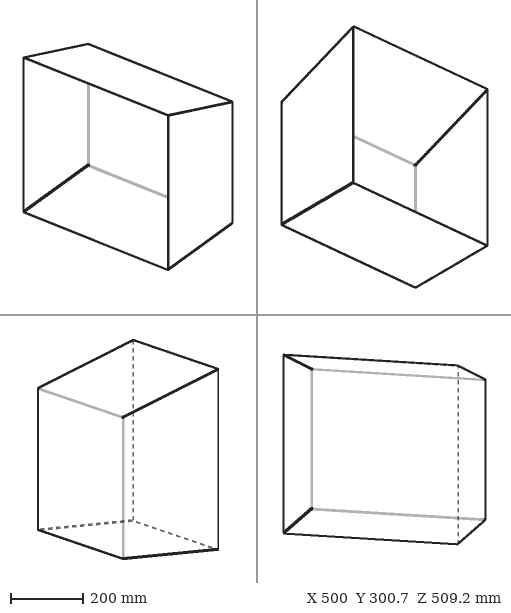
import cadquery as cq
import math

width = 500.0
depth = 300.0
back_height = 400.0
roof_angle = 20.0
sheet = 2.0
bend_inner_radius = 2.0
roof_joint_gap = 0.2

bend_outer_radius = bend_inner_radius + sheet
square_bend_angle = 90.0
roof_bend_angle = square_bend_angle - roof_angle
roof_bend_setback = bend_outer_radius * math.tan(math.radians(roof_bend_angle / 2))

panel_half_width = width / 2 - bend_outer_radius
panel_bottom = bend_outer_radius
panel_top = back_height - roof_bend_setback
panel_height = panel_top - panel_bottom
bend_axis_y = depth - bend_outer_radius

roof_joint_inset = sheet + roof_joint_gap
roof_half_width = width / 2 - roof_joint_inset
floor_half_width = width / 2 - sheet

roof_slope = math.tan(math.radians(roof_angle))
roof_cosine = math.cos(math.radians(roof_angle))
roof_length = depth / roof_cosine - roof_bend_setback
side_top_at_back = back_height - roof_joint_inset / roof_cosine
side_top_at_bend = side_top_at_back + bend_outer_radius * roof_slope
side_top_at_front = side_top_at_back + depth * roof_slope


def back_panel():
    panel = cq.Workplane("XY").box(
        2 * panel_half_width, sheet, panel_height, centered=(True, False, False)
    )
    return panel.translate((0, depth - sheet, panel_bottom))


def bend(angle, span):
    """Bend about the X axis, turning from +Y towards +Z and centred along X."""
    mid_radius = bend_inner_radius + sheet / 2
    section = cq.Workplane("XY").center(0, mid_radius).rect(span, sheet)
    return section.revolve(angle, (0, -mid_radius), (1, -mid_radius))


def strip(angle, length, span):
    """Flat wall that carries on from the end of a bend about the X axis."""
    wall = cq.Workplane("XY").box(span, sheet, length, centered=(True, False, False))
    return wall.translate((0, bend_inner_radius, 0)).rotate((0, 0, 0), (1, 0, 0), angle)


def roof():
    bent = bend(roof_bend_angle, 2 * panel_half_width)
    flat = strip(roof_bend_angle, roof_length, 2 * roof_half_width)
    return bent.union(flat).translate((0, bend_axis_y, panel_top))


def floor():
    bent = bend(square_bend_angle, 2 * panel_half_width)
    flat = strip(square_bend_angle, bend_axis_y, 2 * floor_half_width)
    return bent.union(flat).mirror("XY").translate((0, bend_axis_y, panel_bottom))


def right_side():
    bent = (
        bend(square_bend_angle, panel_height)
        .rotate((0, 0, 0), (0, 1, 0), 90)
        .translate((panel_half_width, bend_axis_y, panel_bottom + panel_height / 2))
    )
    flat = (
        cq.Workplane("YZ", origin=(width / 2 - sheet, 0, 0))
        .moveTo(0, panel_bottom)
        .lineTo(bend_axis_y, panel_bottom)
        .lineTo(bend_axis_y, side_top_at_bend)
        .lineTo(0, side_top_at_front)
        .close()
        .extrude(sheet)
    )
    return bent.union(flat)


right_wall = right_side()
left_wall = right_wall.mirror("YZ")

result = back_panel().union(roof()).union(floor()).union(right_wall).union(left_wall)